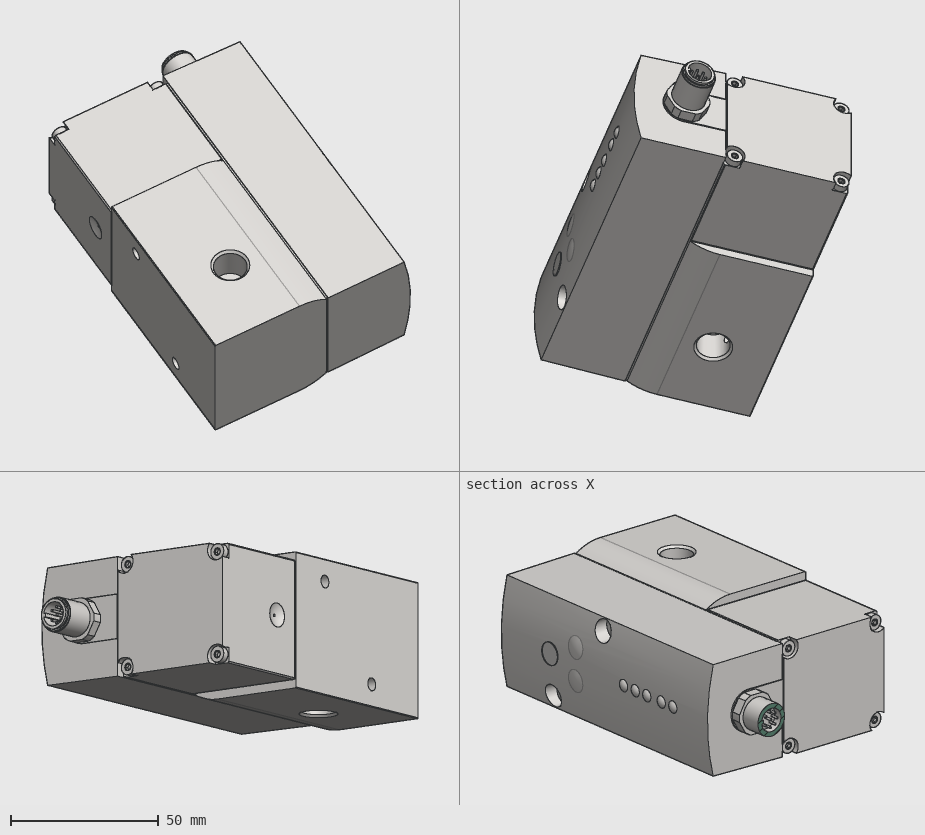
import cadquery as cq
import math


HOUSING_LENGTH = 110.5
CAP_LENGTH = 41.1
BODY_HEIGHT = 47.0
CAP_HEIGHT = 41.3
VALVE_DEPTH = 44.15
SHOULDER_Y = 33.3
SHOULDER_RADIUS = 19.5
CAP_CHAMFER = 0.5
BODY_CHAMFER = 0.3

JOINT_GAP = 0.45
JOINT_INSET = 0.3
JOINT_OVERLAP = 1.0

COVER_Y = VALVE_DEPTH + JOINT_GAP
COVER_CREST_Y = 77.2
COVER_SIDE_Y = 74.7
COVER_LEFT_X = 0.3
COVER_HEIGHT = CAP_HEIGHT
LEFT_DRAFT = 0.5
RIGHT_DRAFT = 0.35
SIDE_DRAFT = 0.4
CROWN_HALF_WIDTH = COVER_HEIGHT / 2 - SIDE_DRAFT
CROWN_SAGITTA = COVER_CREST_Y - COVER_SIDE_Y
CROWN_RADIUS = (CROWN_HALF_WIDTH ** 2 + CROWN_SAGITTA ** 2) / (2 * CROWN_SAGITTA)
CROWN_AXIS_Y = COVER_CREST_Y - CROWN_RADIUS

SCREW_Y = (3.1, 41.05)
SCREW_Z = 17.7
SCREW_BORE_DIAMETER = 7.5
SCREW_BORE_OFFSET = 0.6
SCREW_BORE_DEPTH = 3.7
SCREW_HEAD_DIAMETER = 5.5
SCREW_HEAD_RECESS = 1.3
SOCKET_ACROSS_FLATS = 2.0
SOCKET_MOUTH_DIAMETER = 2.6
SOCKET_MOUTH_DEPTH = 0.2
SOCKET_DEPTH = 1.5

DIMPLE_X = 30.9
DIMPLE_DIAMETER = 8.3
DIMPLE_DEPTH = 1.2
VENT_DIAMETER = 0.8
VENT_DEPTH = 6.0
PORT_X = 83.5
PORT_Y = 22.0
PORT_DIAMETER = 11.45
PORT_MOUTH_DIAMETER = 13.2
PORT_DEPTH = 12.0
MOUNT_HOLES = ((57.9, 15.7), (84.3, -15.7))
MOUNT_DIAMETER = 4.4
MOUNT_HEAD_DIAMETER = 8.3
MOUNT_HEAD_DEPTH = 5.0

LIGHT_X = (19.2, 25.3, 33.0, 39.1, 45.3)
LIGHT_DIAMETER = 4.4
LIGHT_TOP_Y = 78.18
BUTTON_DIAMETER = 8.3
DOMED_BUTTON_RISE = 0.5
DOMED_BUTTON_X = 71.0
DOMED_BUTTON_Z = 6.1
FLAT_BUTTON_RISE = 0.3
FLAT_BUTTON_X = 84.2

CONNECTOR_Y = 59.25
CONNECTOR_TIP_X = -16.4
NUT_ACROSS_FLATS = 14.4
NUT_CORNER_DIAMETER = 15.3
NUT_THICKNESS = 3.7
PAD_DIAMETER = 15.4
PAD_X = 0.0
BARREL_DIAMETER = 12.0
BARREL_SETBACK = 1.7
BARREL_END_X = CONNECTOR_TIP_X + BARREL_SETBACK
COLLAR_DIAMETER = 11.45
COLLAR_SETBACK = 0.9
COLLAR_END_X = CONNECTOR_TIP_X + COLLAR_SETBACK
LIP_DIAMETER = 10.4
CONNECTOR_BORE_DIAMETER = 8.3
CONNECTOR_BORE_DEPTH = 8.0
PIN_DIAMETER = 0.8
PIN_RECESS = 2.0
PIN_CIRCLE_DIAMETER = 5.5
RING_PIN_COUNT = 7
RING_PIN_ANGLE = 47.5
KEY_WIDTH = 1.3
KEY_HEIGHT = 0.8


def box(x0, x1, y0, y1, height):
    """Block between two X and two Y positions, centred on the mid-plane."""
    block = cq.Workplane("XY").box(x1 - x0, y1 - y0, height, centered=(False, False, True))
    return block.translate((x0, y0, 0))


def rod_x(diameter, x0, x1, y, z=0.0):
    """Cylinder along X."""
    return cq.Workplane("YZ", origin=(x0, y, z)).circle(diameter / 2).extrude(x1 - x0)


def rod_y(diameter, y0, y1, x, z=0.0):
    """Cylinder along Y."""
    return cq.Workplane("XZ", origin=(x, y0, z)).circle(diameter / 2).extrude(y0 - y1)


def dome_y(diameter, base_y, top_y, x):
    """Spherical cap on the mid-plane, rising in +Y from a circle at base_y."""
    rise = top_y - base_y
    sphere_radius = ((diameter / 2) ** 2 + rise ** 2) / (2 * rise)
    sphere = cq.Workplane("XY", origin=(x, top_y - sphere_radius, 0)).sphere(sphere_radius)
    return sphere.intersect(rod_y(diameter, base_y, top_y + rise, x))


def make_valve_body():
    """Flow block with both rear long edges rounded down towards the cover."""
    half = BODY_HEIGHT / 2
    reach = VALVE_DEPTH - SHOULDER_Y
    end_drop = SHOULDER_RADIUS - math.sqrt(SHOULDER_RADIUS ** 2 - reach ** 2)
    mid_angle = math.asin(reach / SHOULDER_RADIUS) / 2
    mid_y = SHOULDER_Y + SHOULDER_RADIUS * math.sin(mid_angle)
    mid_z = half - SHOULDER_RADIUS * (1 - math.cos(mid_angle))
    end_z = half - end_drop
    profile = (
        cq.Workplane("YZ", origin=(CAP_LENGTH + JOINT_GAP, 0, 0))
        .moveTo(0, -half)
        .lineTo(SHOULDER_Y, -half)
        .threePointArc((mid_y, -mid_z), (VALVE_DEPTH, -end_z))
        .lineTo(VALVE_DEPTH, end_z)
        .threePointArc((mid_y, mid_z), (SHOULDER_Y, half))
        .lineTo(0, half)
        .close()
    )
    body = profile.extrude(HOUSING_LENGTH - CAP_LENGTH - JOINT_GAP)
    return body.faces("<Y").edges("|X").chamfer(BODY_CHAMFER)


def make_end_cap():
    """Block at the left end with chamfered long edges."""
    cap = box(0, CAP_LENGTH, 0, VALVE_DEPTH, CAP_HEIGHT)
    return cap.edges("|X").chamfer(CAP_CHAMFER)


def make_joints():
    """Slightly recessed layers that join the cap, the body and the cover."""
    height = CAP_HEIGHT - 2 * JOINT_INSET
    cap_to_body = box(
        CAP_LENGTH - JOINT_OVERLAP,
        CAP_LENGTH + JOINT_GAP + JOINT_OVERLAP,
        JOINT_INSET,
        VALVE_DEPTH,
        height,
    )
    valve_to_cover = box(
        COVER_LEFT_X + JOINT_INSET,
        HOUSING_LENGTH - JOINT_INSET,
        VALVE_DEPTH - JOINT_OVERLAP,
        COVER_Y + JOINT_OVERLAP,
        height,
    )
    return cap_to_body.union(valve_to_cover)


def crown_y(z):
    """Y of the crowned back at a given Z."""
    return CROWN_AXIS_Y + math.sqrt(CROWN_RADIUS ** 2 - z ** 2)


def make_cover():
    """Drafted housing with a crowned back and a flat pad under the connector."""
    length = HOUSING_LENGTH - COVER_LEFT_X
    crest_length = length - LEFT_DRAFT - RIGHT_DRAFT
    base_mid_x = COVER_LEFT_X + length / 2
    mid_shift = (LEFT_DRAFT - RIGHT_DRAFT) / 2
    rise = COVER_CREST_Y - COVER_Y
    shell = (
        cq.Workplane("XZ", origin=(base_mid_x, COVER_Y, 0))
        .rect(length, COVER_HEIGHT)
        .workplane(offset=-rise)
        .center(mid_shift, 0)
        .rect(crest_length, COVER_HEIGHT - 2 * SIDE_DRAFT)
        .loft(ruled=True)
    )
    crown = rod_x(2 * CROWN_RADIUS, 0, HOUSING_LENGTH, CROWN_AXIS_Y)
    pad_end_x = COVER_LEFT_X + 2 * LEFT_DRAFT
    pad = rod_x(PAD_DIAMETER, PAD_X, pad_end_x, CONNECTOR_Y)
    pad_leg = box(PAD_X, pad_end_x, COVER_Y, CONNECTOR_Y, PAD_DIAMETER)
    return shell.intersect(crown).union(pad).union(pad_leg)


def add_controls(part):
    """Row of small light domes, two domed buttons and one flat button."""
    for x in LIGHT_X:
        base_y = crown_y(LIGHT_DIAMETER / 2)
        part = part.union(dome_y(LIGHT_DIAMETER, base_y, LIGHT_TOP_Y, x))
    base_y = crown_y(BUTTON_DIAMETER / 2)
    domed_button = dome_y(BUTTON_DIAMETER, base_y, COVER_CREST_Y + DOMED_BUTTON_RISE, DOMED_BUTTON_X)
    tilt = math.degrees(math.asin(DOMED_BUTTON_Z / CROWN_RADIUS))
    for angle in (-tilt, tilt):
        part = part.union(domed_button.rotate((0, CROWN_AXIS_Y, 0), (1, CROWN_AXIS_Y, 0), angle))
    flat_button = rod_y(BUTTON_DIAMETER, base_y, COVER_CREST_Y + FLAT_BUTTON_RISE, FLAT_BUTTON_X)
    return part.union(flat_button)


def fit_cap_screws(part):
    """Counterbores that break out at the cap corners, each with a socket head screw."""
    for y in SCREW_Y:
        for z in (-SCREW_Z, SCREW_Z):
            bore_y = y + math.copysign(SCREW_BORE_OFFSET, y - VALVE_DEPTH / 2)
            bore_z = z + math.copysign(SCREW_BORE_OFFSET, z)
            bore = rod_x(SCREW_BORE_DIAMETER, 0, SCREW_BORE_DEPTH, bore_y, bore_z)
            keep_off_cover = box(0, SCREW_BORE_DEPTH, 0, COVER_Y, BODY_HEIGHT)
            part = part.cut(bore.intersect(keep_off_cover))
            head = rod_x(SCREW_HEAD_DIAMETER, SCREW_HEAD_RECESS, SCREW_BORE_DEPTH, y, z)
            socket = (
                cq.Workplane("YZ", origin=(SCREW_HEAD_RECESS, y, z))
                .polygon(6, SOCKET_ACROSS_FLATS / math.cos(math.pi / 6))
                .extrude(SOCKET_DEPTH)
            )
            mouth = cq.Workplane(
                cq.Solid.makeCone(
                    SOCKET_MOUTH_DIAMETER / 2,
                    SOCKET_ACROSS_FLATS / 2,
                    SOCKET_MOUTH_DEPTH,
                    cq.Vector(SCREW_HEAD_RECESS, y, z),
                    cq.Vector(1, 0, 0),
                )
            )
            part = part.union(head.cut(socket).cut(mouth))
    return part


def cut_dimple(part):
    """Spherical dish in the front of the cap with a fine vent at its centre."""
    sphere_radius = ((DIMPLE_DIAMETER / 2) ** 2 + DIMPLE_DEPTH ** 2) / (2 * DIMPLE_DEPTH)
    sphere_y = DIMPLE_DEPTH - sphere_radius
    part = part.cut(cq.Workplane("XY", origin=(DIMPLE_X, sphere_y, 0)).sphere(sphere_radius))
    return part.cut(rod_y(VENT_DIAMETER, 0, VENT_DEPTH, DIMPLE_X))


def cut_ports(part):
    """Plain-bored port on the top and its mirror image on the underside."""
    mouth_chamfer = (PORT_MOUTH_DIAMETER - PORT_DIAMETER) / 2
    top_z = BODY_HEIGHT / 2
    bore = (
        cq.Workplane("XY", origin=(PORT_X, PORT_Y, top_z))
        .circle(PORT_DIAMETER / 2)
        .extrude(-PORT_DEPTH)
    )
    mouth = cq.Workplane(
        cq.Solid.makeCone(
            PORT_MOUTH_DIAMETER / 2,
            PORT_DIAMETER / 2,
            mouth_chamfer,
            cq.Vector(PORT_X, PORT_Y, top_z),
            cq.Vector(0, 0, -1),
        )
    )
    port = bore.union(mouth)
    return part.cut(port).cut(port.mirror("XY"))


def cut_mounting_holes(part):
    """Through holes along Y, counterbored from the crowned back."""
    for x, z in MOUNT_HOLES:
        head_floor_y = crown_y(z) - MOUNT_HEAD_DEPTH
        part = part.cut(rod_y(MOUNT_DIAMETER, 0, COVER_CREST_Y, x, z))
        part = part.cut(rod_y(MOUNT_HEAD_DIAMETER, head_floor_y, COVER_CREST_Y, x, z))
    return part


def make_connector():
    """Male circular connector: hexagon nut, stepped barrel, pins and key."""
    nut = (
        cq.Workplane("YZ", origin=(PAD_X - NUT_THICKNESS, CONNECTOR_Y, 0))
        .polygon(6, NUT_ACROSS_FLATS / math.cos(math.pi / 6))
        .extrude(NUT_THICKNESS)
        .intersect(rod_x(NUT_CORNER_DIAMETER, PAD_X - NUT_THICKNESS, PAD_X, CONNECTOR_Y))
    )
    barrel = (
        rod_x(BARREL_DIAMETER, BARREL_END_X, PAD_X, CONNECTOR_Y)
        .union(rod_x(COLLAR_DIAMETER, COLLAR_END_X, PAD_X, CONNECTOR_Y))
        .union(rod_x(LIP_DIAMETER, CONNECTOR_TIP_X, PAD_X, CONNECTOR_Y))
    )
    floor_x = CONNECTOR_TIP_X + CONNECTOR_BORE_DEPTH
    bore = rod_x(CONNECTOR_BORE_DIAMETER, CONNECTOR_TIP_X, floor_x, CONNECTOR_Y)
    connector = nut.union(barrel.cut(bore))

    pin_tip_x = CONNECTOR_TIP_X + PIN_RECESS
    connector = connector.union(rod_x(PIN_DIAMETER, pin_tip_x, floor_x, CONNECTOR_Y))
    pin_circle_radius = PIN_CIRCLE_DIAMETER / 2
    for index in range(RING_PIN_COUNT):
        angle = math.radians(180 + RING_PIN_ANGLE * (index - RING_PIN_COUNT // 2))
        pin_y = CONNECTOR_Y + pin_circle_radius * math.cos(angle)
        pin_z = pin_circle_radius * math.sin(angle)
        connector = connector.union(rod_x(PIN_DIAMETER, pin_tip_x, floor_x, pin_y, pin_z))

    bore_wall_y = CONNECTOR_Y + CONNECTOR_BORE_DIAMETER / 2
    key = box(CONNECTOR_TIP_X, floor_x, bore_wall_y - KEY_HEIGHT, bore_wall_y + KEY_HEIGHT, KEY_WIDTH)
    return connector.union(key)


result = make_valve_body().union(make_end_cap()).union(make_joints()).union(make_cover())
result = add_controls(result)
result = fit_cap_screws(result)
result = cut_dimple(result)
result = cut_ports(result)
result = cut_mounting_holes(result)
result = result.union(make_connector())